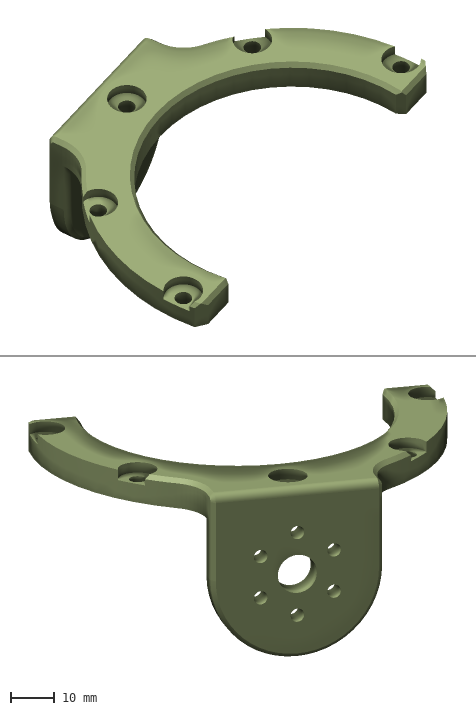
import cadquery as cq
import math

OUTER_RADIUS = 48.0
INNER_RADIUS = 36.0
PLATE_THICKNESS = 7.0
FACE_X = -53.5
LENGTH = 60.32
END_X = FACE_X + LENGTH

TAB_RADIUS = 20.25
TAB_THICKNESS = 5.5
TAB_CENTER_Z = -20.88
TAB_HEIGHT = TAB_RADIUS - TAB_CENTER_Z
TAB_BACK_X = FACE_X + TAB_THICKNESS
NECK_RADIUS = 10.0

EDGE_CHAMFER = 1.0
END_BEVEL_LENGTH = 2.0
OUTER_BEVEL_WIDTH = 2.3
INNER_BEVEL_WIDTH = 1.5
BEND_FILLET = 2.0

SCREW_CIRCLE_RADIUS = 45.1
SCREW_DIAMETER = 4.0
SCREW_ANGLES = (90, 135, 180, 225, 270)
COUNTERBORE_DIAMETER = 9.0
COUNTERBORE_DEPTH = 2.5

HUB_DIAMETER = 9.2
HUB_SCREW_DIAMETER = 3.2
HUB_SCREW_CIRCLE_RADIUS = 10.0
HUB_SCREW_COUNT = 6
HUB_SCREW_START_ANGLE = 90

NECK_CENTER_Y = TAB_RADIUS + NECK_RADIUS
NECK_CENTER_X = -math.sqrt((OUTER_RADIUS + NECK_RADIUS) ** 2 - NECK_CENTER_Y ** 2)
NECK_ANGLE = math.atan2(NECK_CENTER_Y, NECK_CENTER_X)
OUTER_ARC_MIDDLE_ANGLE = math.radians(110)

TOLERANCE = 0.01


def ring_point(radius, angle):
    """Point on a circle about the ring centre, angle in radians."""
    return (radius * math.cos(angle), radius * math.sin(angle))


def circle_y(radius, x):
    """Height in Y, on the +Y side, of a circle about the ring centre at a given X."""
    return math.sqrt(radius ** 2 - x ** 2)


def mirrored(point):
    """The same point on the other side of the XZ plane."""
    return (point[0], -point[1])


def neck_blend_middle():
    """Middle point of the concave blend on the +Y side."""
    middle_angle = (NECK_ANGLE - math.pi - math.pi / 2) / 2
    return (
        NECK_CENTER_X + NECK_RADIUS * math.cos(middle_angle),
        NECK_CENTER_Y + NECK_RADIUS * math.sin(middle_angle),
    )


def make_plate():
    """Ring, neck and top of the tab as one flat plate."""
    outer_end = (END_X, circle_y(OUTER_RADIUS, END_X))
    inner_end = (END_X, circle_y(INNER_RADIUS, END_X))
    outer_middle = ring_point(OUTER_RADIUS, OUTER_ARC_MIDDLE_ANGLE)
    neck_end = ring_point(OUTER_RADIUS, NECK_ANGLE)
    neck_middle = neck_blend_middle()
    neck_start = (NECK_CENTER_X, TAB_RADIUS)
    return (
        cq.Workplane("XY")
        .moveTo(*outer_end)
        .threePointArc(outer_middle, neck_end)
        .threePointArc(neck_middle, neck_start)
        .lineTo(FACE_X, TAB_RADIUS)
        .lineTo(FACE_X, -TAB_RADIUS)
        .lineTo(*mirrored(neck_start))
        .threePointArc(mirrored(neck_middle), mirrored(neck_end))
        .threePointArc(mirrored(outer_middle), mirrored(outer_end))
        .lineTo(*mirrored(inner_end))
        .threePointArc((-INNER_RADIUS, 0), inner_end)
        .close()
        .extrude(-PLATE_THICKNESS)
    )


def make_tab():
    """Upright tab with its rounded lower end."""
    return (
        cq.Workplane("YZ", origin=(FACE_X, 0, 0))
        .moveTo(-TAB_RADIUS, 0)
        .lineTo(-TAB_RADIUS, TAB_CENTER_Z)
        .threePointArc((0, -TAB_HEIGHT), (TAB_RADIUS, TAB_CENTER_Z))
        .lineTo(TAB_RADIUS, 0)
        .close()
        .extrude(TAB_THICKNESS)
    )


def cut_ring_holes(body):
    """Counterbored screw holes spaced around the ring."""
    centers = [ring_point(SCREW_CIRCLE_RADIUS, math.radians(a)) for a in SCREW_ANGLES]
    top = cq.Workplane("XY").pushPoints(centers)
    screws = top.circle(SCREW_DIAMETER / 2).extrude(-PLATE_THICKNESS)
    counterbores = top.circle(COUNTERBORE_DIAMETER / 2).extrude(-COUNTERBORE_DEPTH)
    return body.cut(screws).cut(counterbores)


def cut_tab_holes(body):
    """Central hub hole and the circle of small screw holes around it."""
    face = cq.Workplane("YZ", origin=(FACE_X, 0, TAB_CENTER_Z))
    hub = face.circle(HUB_DIAMETER / 2).extrude(TAB_THICKNESS)
    screws = (
        face.polarArray(HUB_SCREW_CIRCLE_RADIUS, HUB_SCREW_START_ANGLE, 360, HUB_SCREW_COUNT)
        .circle(HUB_SCREW_DIAMETER / 2)
        .extrude(TAB_THICKNESS)
    )
    return body.cut(hub).cut(screws)


def bevel_arm_corners(body):
    """Cut off the upright corners of the arm ends, across the top chamfers."""
    start_x = END_X - END_BEVEL_LENGTH
    corners = ((OUTER_RADIUS, -OUTER_BEVEL_WIDTH), (INNER_RADIUS, INNER_BEVEL_WIDTH))
    for radius, inset in corners:
        start = (start_x, circle_y(radius, start_x))
        finish = (END_X, circle_y(radius, END_X) + inset)
        step_x = finish[0] - start[0]
        step_y = finish[1] - start[1]
        corner = [
            (start[0] - step_x, start[1] - step_y),
            (finish[0] + step_x, finish[1] + step_y),
            (finish[0] + step_x, start[1] - step_y),
        ]
        cutter = cq.Workplane("XY").polyline(corner).close().extrude(-PLATE_THICKNESS)
        body = body.cut(cutter).cut(cutter.mirror("XZ"))
    return body


def lies_on_top(edge):
    """True for an edge in the top face of the plate."""
    return abs(edge.BoundingBox().zmin) < TOLERANCE


def lies_in_x_plane(edge, x):
    """True for an edge whose points all share the given X."""
    box = edge.BoundingBox()
    return abs(box.xmin - x) < TOLERANCE and abs(box.xmax - x) < TOLERANCE


def is_outline_edge(edge):
    """Edges of the tab face, bend and neck, as far as the screw holes next to it."""
    if edge.geomType() == "CIRCLE" and lies_in_x_plane(edge, FACE_X):
        return abs(edge.radius() - TAB_RADIUS) < TOLERANCE
    middle = edge.positionAt(0.5)
    on_side = abs(abs(middle.y) - TAB_RADIUS) < TOLERANCE
    if on_side and lies_in_x_plane(edge, FACE_X):
        return True
    bend_reach = FACE_X + BEND_FILLET
    if on_side and edge.geomType() == "CIRCLE" and middle.x < bend_reach:
        return True
    beside_tab = abs(middle.y) > TAB_RADIUS - TOLERANCE
    neck_limit = -SCREW_CIRCLE_RADIUS * math.cos(math.pi / 4)
    on_neck = on_side or math.hypot(middle.x, middle.y) > OUTER_RADIUS - TOLERANCE
    return lies_on_top(edge) and beside_tab and on_neck and middle.x < neck_limit


def is_bore_or_end_edge(edge):
    """Top edges of the ring bore and arm ends, and the outer stub of the -Y arm."""
    if not lies_on_top(edge):
        return False
    middle = edge.positionAt(0.5)
    distance = math.hypot(middle.x, middle.y)
    on_bore = abs(distance - INNER_RADIUS) < TOLERANCE
    on_outer_stub = abs(distance - OUTER_RADIUS) < TOLERANCE and middle.x > 0 and middle.y < 0
    return on_bore or on_outer_stub or lies_in_x_plane(edge, END_X)


def is_tab_back_edge(edge):
    """Edges round the back of the tab, below the plate."""
    if not lies_in_x_plane(edge, TAB_BACK_X):
        return False
    if edge.geomType() == "CIRCLE":
        return abs(edge.radius() - TAB_RADIUS) < TOLERANCE
    return abs(abs(edge.Center().y) - TAB_RADIUS) < TOLERANCE


def chamfer_where(body, condition):
    """Chamfer every edge that meets the condition."""
    chosen = [e for e in body.edges().vals() if condition(e)]
    return body.newObject(chosen).chamfer(EDGE_CHAMFER)


tab = chamfer_where(make_tab(), is_tab_back_edge)
result = make_plate().union(tab)
result = result.faces("<X").edges(">Z").fillet(BEND_FILLET)
result = cut_ring_holes(result)
result = chamfer_where(result, is_outline_edge)
result = chamfer_where(result, is_bore_or_end_edge)
result = bevel_arm_corners(result)
result = cut_tab_holes(result)